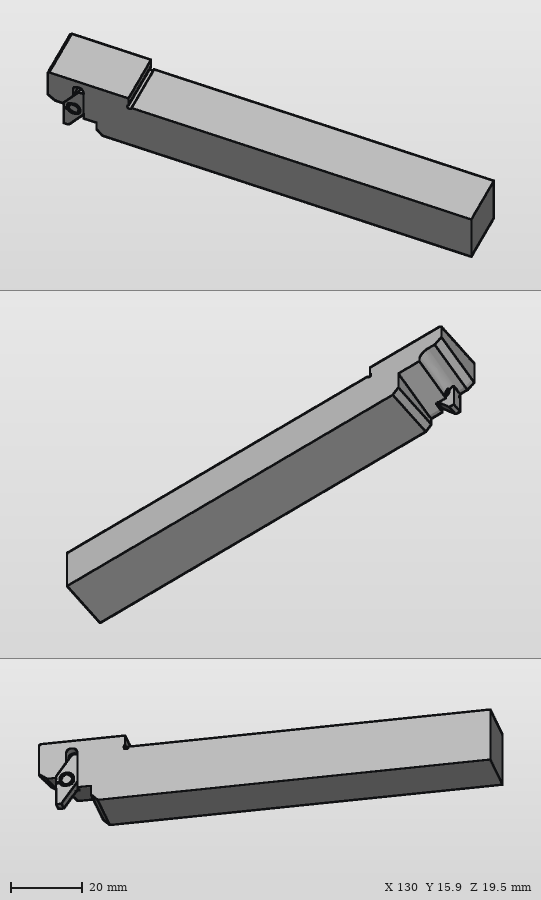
import cadquery as cq
import math

LENGTH = 130.0
WIDTH = 15.9
SHANK_HEIGHT = 15.9
HEAD_HEIGHT = 19.5
HEAD_LENGTH = 24.8
NOSE_CHAMFER = 0.5
RELIEF_RADIUS = 0.6
RELIEF_OFFSET = 0.3

NOSE_BOTTOM = 10.0
CEILING_START = 2.3
CEILING = 8.3
SUPPORT_X = 7.7
SUPPORT_FILLET = 3.0
NOTCH_TOP = 4.7
NOTCH_X = 15.0
SHANK_CHAMFER = 2.0
SLOPE_START = 1.2
SLOPE_ANGLE = 15.0

INSERT_THICKNESS = 3.1
INSERT_LEFT = 5.0
INSERT_RIGHT = 11.0
INSERT_HEIGHT = 15.1
TIP_WIDTH = 1.5
FLANK_RISE = 6.4
PIN_RADIUS = 1.5
PIN_LENGTH = 3.6
COUNTERBORE_RADIUS = 2.1
COUNTERBORE_DEPTH = 0.5
GROOVE_Z = 6.8
GROOVE_WIDTH = 0.4
GROOVE_DEPTH = 0.4
SLOT_LEFT = 7.8
SLOT_TOP = 17.2

CUT_MARGIN = 1.3


def extrude_back(outline, depth):
    """Extrude an XZ outline from the insert face (Y = 0) towards +Y."""
    return outline.close().extrude(-depth)


def make_bar():
    """Side outline of the shank and head before the underside is cut."""
    outline = (
        cq.Workplane("XZ")
        .moveTo(0, 0)
        .lineTo(LENGTH, 0)
        .lineTo(LENGTH, SHANK_HEIGHT)
        .lineTo(HEAD_LENGTH, SHANK_HEIGHT)
        .lineTo(HEAD_LENGTH, HEAD_HEIGHT)
        .lineTo(NOSE_CHAMFER, HEAD_HEIGHT)
        .lineTo(0, HEAD_HEIGHT - NOSE_CHAMFER)
    )
    return extrude_back(outline, WIDTH)


def make_corner_relief():
    """Round relief groove along the inside corner behind the head."""
    corner = cq.Workplane("XZ").center(HEAD_LENGTH + RELIEF_OFFSET, SHANK_HEIGHT)
    return corner.circle(RELIEF_RADIUS).extrude(-WIDTH)


def make_underside_wire():
    """Closed outline of the space under the head in the plane of the insert face."""
    floor = -HEAD_HEIGHT
    nose_slope = (NOSE_BOTTOM - CEILING) / CEILING_START
    diagonal = SUPPORT_FILLET * math.sqrt(0.5)
    center_x = SUPPORT_X - SUPPORT_FILLET
    center_z = CEILING - SUPPORT_FILLET
    return (
        cq.Workplane("XZ")
        .moveTo(-CUT_MARGIN, floor)
        .lineTo(-CUT_MARGIN, NOSE_BOTTOM + CUT_MARGIN * nose_slope)
        .lineTo(CEILING_START, CEILING)
        .lineTo(center_x, CEILING)
        .threePointArc((center_x + diagonal, center_z + diagonal), (SUPPORT_X, center_z))
        .lineTo(SUPPORT_X, NOTCH_TOP)
        .lineTo(NOTCH_X, NOTCH_TOP)
        .lineTo(NOTCH_X, floor)
        .close()
        .val()
    )


def make_underside_cut():
    """Space under the head: level at the insert face, then climbing towards the back."""
    wire = make_underside_wire()
    run = WIDTH + CUT_MARGIN - SLOPE_START
    rise = run * math.tan(math.radians(SLOPE_ANGLE))
    level = cq.Solid.extrudeLinear(wire, [], cq.Vector(0, SLOPE_START, 0))
    climb_wire = wire.translate(cq.Vector(0, SLOPE_START, 0))
    climbing = cq.Solid.extrudeLinear(climb_wire, [], cq.Vector(0, run, rise))
    return cq.Workplane(level).union(cq.Workplane(climbing))


def make_shank_chamfer():
    """Bevel where the notch wall meets the bottom of the shank."""
    outline = (
        cq.Workplane("XZ")
        .moveTo(NOTCH_X, 0)
        .lineTo(NOTCH_X + SHANK_CHAMFER, 0)
        .lineTo(NOTCH_X, SHANK_CHAMFER)
    )
    return extrude_back(outline, WIDTH)


def make_insert_blank():
    """Two-tipped cutting insert, symmetric under a half turn about its hole."""
    outline = (
        cq.Workplane("XZ")
        .moveTo(INSERT_LEFT, 0)
        .lineTo(INSERT_LEFT + TIP_WIDTH, 0)
        .lineTo(INSERT_RIGHT, FLANK_RISE)
        .lineTo(INSERT_RIGHT, INSERT_HEIGHT)
        .lineTo(INSERT_RIGHT - TIP_WIDTH, INSERT_HEIGHT)
        .lineTo(INSERT_LEFT, INSERT_HEIGHT - FLANK_RISE)
    )
    return extrude_back(outline, INSERT_THICKNESS)


def make_seat():
    """Recess for the insert: its outline, the round-ended slot and the open lower corner."""
    slot_radius = (INSERT_RIGHT - SLOT_LEFT) / 2
    slot_spring = SLOT_TOP - slot_radius
    slot = (
        cq.Workplane("XZ")
        .moveTo(SLOT_LEFT, NOTCH_TOP)
        .lineTo(INSERT_RIGHT, NOTCH_TOP)
        .lineTo(INSERT_RIGHT, slot_spring)
        .threePointArc((SLOT_LEFT + slot_radius, SLOT_TOP), (SLOT_LEFT, slot_spring))
    )
    return make_insert_blank().union(extrude_back(slot, INSERT_THICKNESS))


def make_hole_cylinder(radius, depth):
    """Cylinder on the hole axis, from the insert face towards +Y."""
    center_x = (INSERT_LEFT + INSERT_RIGHT) / 2
    return cq.Workplane("XZ").center(center_x, INSERT_HEIGHT / 2).circle(radius).extrude(-depth)


def make_insert_groove():
    """Thin shallow groove in the insert face, from its left edge to the hole."""
    length = (INSERT_RIGHT - INSERT_LEFT) / 2
    groove = cq.Workplane("XZ").center(INSERT_LEFT + length / 2, GROOVE_Z)
    return groove.rect(length, GROOVE_WIDTH).extrude(-GROOVE_DEPTH)


def make_insert():
    """Insert with a counterbored hole that fits over the locating pin of the holder."""
    return (
        make_insert_blank()
        .cut(make_hole_cylinder(PIN_RADIUS, INSERT_THICKNESS))
        .cut(make_hole_cylinder(COUNTERBORE_RADIUS, COUNTERBORE_DEPTH))
        .cut(make_insert_groove())
    )


holder = (
    make_bar()
    .cut(make_corner_relief())
    .cut(make_underside_cut())
    .cut(make_shank_chamfer())
    .cut(make_seat())
    .union(make_hole_cylinder(PIN_RADIUS, PIN_LENGTH))
)
insert = make_insert()

result = cq.Compound.makeCompound([holder.val(), insert.val()])